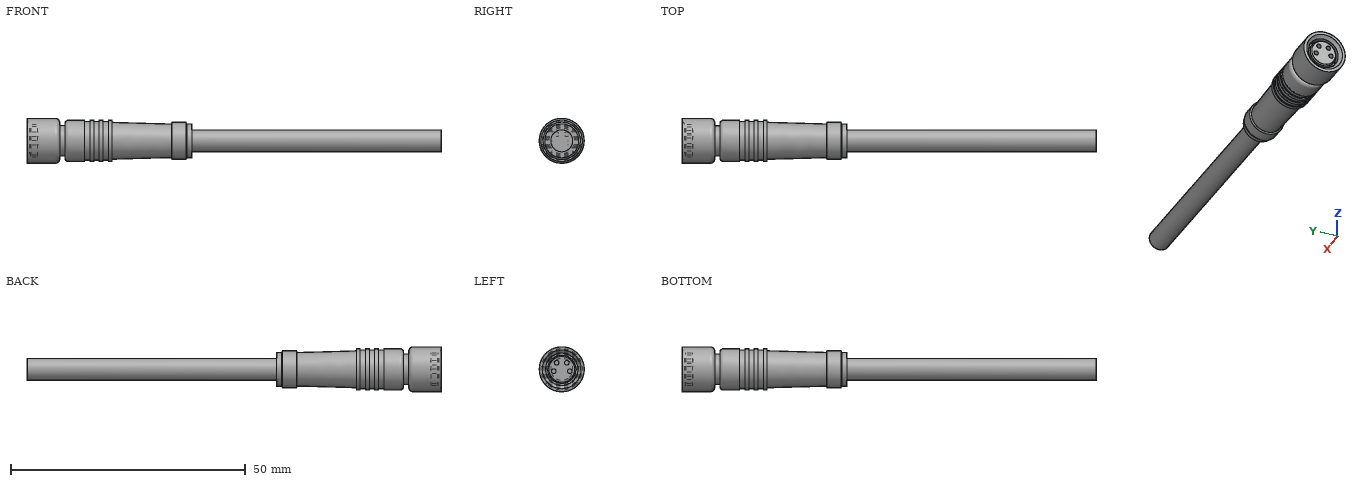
import cadquery as cq
import math

total_length = 88.2

nut_diameter = 9.6
nut_radius = nut_diameter / 2
nut_straight_end = 6.0
nut_end = 7.0
nut_rear_radius = 3.8

neck_radius = 3.3
neck_end = 8.0

grip_radius = 4.4
grip_end = 18.1
grip_nose_round = 0.8
groove_depth = 0.3
groove_width = 1.15
first_groove_start = 12.3
groove_pitch = 1.9
groove_count = 3

sleeve_front_radius = 4.0
sleeve_rear_radius = 3.6
sleeve_end = 30.7

collar_radius = 4.0
collar_start = 30.9
collar_end = 33.8
collar_rear_chamfer = 0.3
step_radius = 3.6
step_end = 35.1

cable_diameter = 4.7
cable_radius = cable_diameter / 2

mouth_radius = 4.15
mouth_taper_length = 0.7
socket_radius = 3.4
socket_depth = 2.2
insert_radius = 3.0
insert_recess = 0.5
insert_chamfer = 0.3

contact_hole_diameter = 1.0
contact_hole_depth = 1.8
contact_circle_radius = 1.8
contact_angles = (52.0, 128.0, 193.0, 347.0)


def turned(profile):
    """Turn an outline drawn in (x, radius) about the X axis."""
    return profile.close().revolve(360, (0, 0, 0), (1, 0, 0))


def make_plug():
    arc_middle = math.sin(math.radians(45))
    nose_round_offset = grip_nose_round * (1 - arc_middle)
    nut_round_middle = (
        nut_straight_end + (nut_end - nut_straight_end) * arc_middle,
        nut_rear_radius + (nut_radius - nut_rear_radius) * arc_middle,
    )
    return turned(
        cq.Workplane("XY")
        .moveTo(0, 0)
        .lineTo(0, nut_radius)
        .lineTo(nut_straight_end, nut_radius)
        .threePointArc(nut_round_middle, (nut_end, nut_rear_radius))
        .lineTo(nut_end, neck_radius)
        .lineTo(neck_end, neck_radius)
        .lineTo(neck_end, grip_radius - grip_nose_round)
        .threePointArc(
            (neck_end + nose_round_offset, grip_radius - nose_round_offset),
            (neck_end + grip_nose_round, grip_radius),
        )
        .lineTo(grip_end, grip_radius)
        .lineTo(grip_end, sleeve_front_radius)
        .lineTo(sleeve_end, sleeve_rear_radius)
        .lineTo(collar_start, collar_radius)
        .lineTo(collar_end, collar_radius)
        .lineTo(collar_end + collar_rear_chamfer, step_radius)
        .lineTo(step_end, step_radius)
        .lineTo(step_end, cable_radius)
        .lineTo(total_length, cable_radius)
        .lineTo(total_length, 0)
    )


def ring(start, length, inner_radius, outer_radius):
    return (
        cq.Workplane("YZ", origin=(start, 0, 0))
        .circle(outer_radius)
        .circle(inner_radius)
        .extrude(length)
    )


def make_socket():
    """Tapered mouth that leaves the contact insert standing on its floor."""
    return turned(
        cq.Workplane("XY")
        .moveTo(0, 0)
        .lineTo(0, mouth_radius)
        .lineTo(mouth_taper_length, socket_radius)
        .lineTo(socket_depth, socket_radius)
        .lineTo(socket_depth, insert_radius)
        .lineTo(insert_recess + insert_chamfer, insert_radius)
        .lineTo(insert_recess, insert_radius - insert_chamfer)
        .lineTo(insert_recess, 0)
    )


def make_contact_holes():
    centers = [
        (
            contact_circle_radius * math.cos(math.radians(angle)),
            contact_circle_radius * math.sin(math.radians(angle)),
        )
        for angle in contact_angles
    ]
    return (
        cq.Workplane("YZ", origin=(insert_recess, 0, 0))
        .pushPoints(centers)
        .circle(contact_hole_diameter / 2)
        .extrude(contact_hole_depth)
    )


result = make_plug()
groove_floor_radius = grip_radius - groove_depth
for index in range(groove_count):
    groove_start = first_groove_start + index * groove_pitch
    result = result.cut(ring(groove_start, groove_width, groove_floor_radius, grip_radius))
result = result.cut(make_socket()).cut(make_contact_holes())